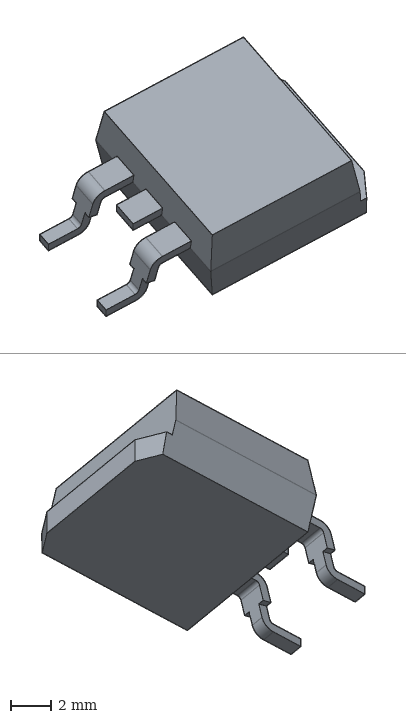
import cadquery as cq
import math

body_width = 10.16
body_height = 4.78
parting_height = 2.4
draft_inset = 0.3
body_depth = 9.02

tab_end = 10.36
tab_height = 1.43
tab_tip_width = 6.97
tab_corner_angle = 30

lead_pitch = 2.54
lead_width = 1.48
foot_width = 0.78
lead_thickness = 0.52
lead_tip = tab_end - 15.21
lead_top = parting_height + lead_thickness
lead_root = 0.76
stub_length = 1.72
bend_middle = -2.39
bend_angle = 75
shoulder_drop = 0.06
inner_radius = 0.25
outer_radius = inner_radius + lead_thickness


def make_body():
    """Intersect the drafted cross-section with the side outline, then trim the tab corners."""
    half_width = body_width / 2
    section = (
        cq.Workplane("XZ")
        .polyline([
            (-half_width + draft_inset, 0),
            (half_width - draft_inset, 0),
            (half_width, parting_height),
            (half_width - draft_inset, body_height),
            (-half_width + draft_inset, body_height),
            (-half_width, parting_height),
        ])
        .close()
        .extrude(-tab_end)
    )
    back_slope = draft_inset / parting_height
    tab_start = body_depth + back_slope * (parting_height - tab_height)
    side = (
        cq.Workplane("YZ")
        .polyline([
            (draft_inset, 0),
            (tab_end, 0),
            (tab_end, tab_height),
            (tab_start, tab_height),
            (body_depth - draft_inset, body_height),
            (draft_inset, body_height),
            (0, parting_height),
        ])
        .close()
        .extrude(half_width, both=True)
    )
    half_tip = tab_tip_width / 2
    cut_width = half_width - half_tip
    cut_depth = cut_width * math.tan(math.radians(tab_corner_angle))
    corner = (
        cq.Workplane("XY")
        .polyline([
            (half_tip, tab_end),
            (half_width, tab_end),
            (half_width, tab_end - cut_depth),
        ])
        .close()
        .extrude(tab_height)
    )
    return section.intersect(side).cut(corner).cut(corner.mirror("YZ"))


def make_lead(x_center):
    """S-bent lead, symmetric about the middle of its slanted stretch, with a narrow foot."""
    angle = math.radians(bend_angle)
    middle_height = lead_top / 2
    half_slant = lead_thickness / (2 * math.sin(angle))
    outer_run = middle_height / math.tan(angle)
    inner_run = (middle_height - lead_thickness) / math.tan(angle)
    upper_outer = (bend_middle + outer_run - half_slant, lead_top)
    upper_inner = (bend_middle + inner_run + half_slant, parting_height)
    lower_inner = (bend_middle - inner_run - half_slant, lead_thickness)
    lower_outer = (bend_middle - outer_run + half_slant, 0)
    lead = (
        cq.Workplane("YZ")
        .polyline([
            (lead_root, lead_top),
            upper_outer,
            lower_inner,
            (lead_tip, lead_thickness),
            (lead_tip, 0),
            lower_outer,
            upper_inner,
            (lead_root, parting_height),
        ])
        .close()
        .extrude(lead_width / 2, both=True)
    )
    bends = [
        (upper_outer, outer_radius),
        (upper_inner, inner_radius),
        (lower_inner, inner_radius),
        (lower_outer, outer_radius),
    ]
    for (y, z), radius in bends:
        lead = lead.edges(cq.selectors.NearestToPointSelector((0, y, z))).fillet(radius)

    shoulder_y = bend_middle - shoulder_drop / math.tan(angle)
    shoulder_height = middle_height - shoulder_drop
    shoulder_width = (lead_width - foot_width) / 2
    reach = lead_top - lead_tip
    for side in (-1, 1):
        trim = (
            cq.Workplane("XY")
            .box(shoulder_width, reach, reach, centered=(True, True, False))
            .translate((side * (foot_width + shoulder_width) / 2, 0, -reach))
            .rotate((0, 0, 0), (1, 0, 0), bend_angle - 90)
            .translate((0, shoulder_y, shoulder_height))
        )
        lead = lead.cut(trim)
    return lead.translate((x_center, 0, 0))


def make_center_stub():
    """Short straight remainder of the cropped middle lead."""
    return (
        cq.Workplane("XY")
        .box(lead_width, stub_length + lead_root, lead_thickness, centered=(True, False, False))
        .translate((0, -stub_length, parting_height))
    )


result = make_body().union(make_center_stub())
for x_center in (-lead_pitch, lead_pitch):
    result = result.union(make_lead(x_center))